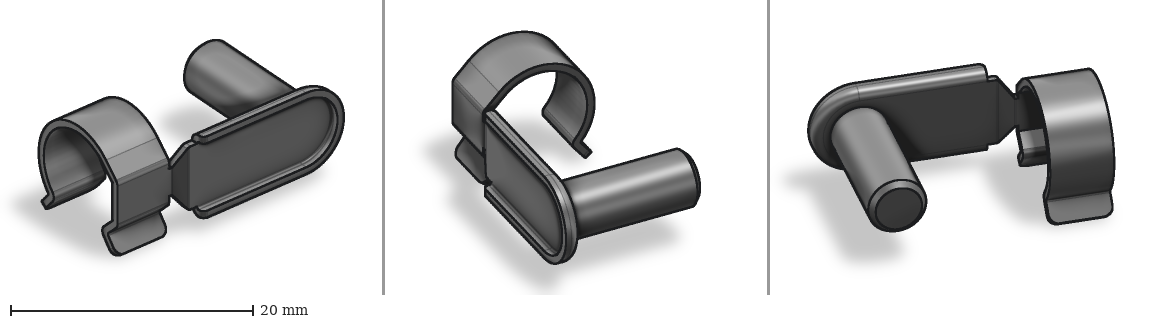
import cadquery as cq
import math

sheet = 0.7

pin_diameter = 5.0
pin_chamfer = 0.5
plate_x = 12.08

plate_radius = 4.0
plate_back_x = 13.5
bend_radius = 0.9
flange_end_y = -11.0
flange_corner_radius = 0.5

tab_half_width = plate_radius - bend_radius
tab_shoulder_y = -11.87
tab_corner_radius = 0.4
tab_bend_radius = 0.28
neck_half_width = 1.35
neck_y = -13.2

clip_radius = 5.2
clip_center_x = 7.02
clip_start_y = -13.5
clip_end_y = -19.0
lip_bend_z = -3.47
lip_length = 2.05
lip_angle = math.radians(51)
lip_corner_radius = 0.8
fold_inner_radius = 0.18
clip_back_x = clip_center_x + clip_radius


def make_pin():
    length = plate_x + sheet / 2
    pin = cq.Workplane("YZ").circle(pin_diameter / 2).extrude(length)
    return pin.faces("<X").chamfer(pin_chamfer)


def rounded_end_block(radius, front_x):
    """Block with a half-round +Y end, reaching from front_x to the flange rim."""
    return (
        cq.Workplane("YZ", origin=(front_x, 0, 0))
        .moveTo(flange_end_y, -radius)
        .lineTo(0, -radius)
        .threePointArc((radius, 0), (0, radius))
        .lineTo(flange_end_y, radius)
        .close()
        .extrude(plate_back_x - front_x)
    )


def make_plate():
    outside = rounded_end_block(plate_radius, plate_x)
    outside = outside.faces("<X").edges("not <Y").fillet(bend_radius)
    inside = rounded_end_block(plate_radius - sheet, plate_x + sheet)
    inside = inside.faces("<X").edges("not <Y").fillet(bend_radius - sheet)
    plate = outside.cut(inside)
    return plate.faces("<Y").edges(">X").fillet(flange_corner_radius)


def make_tab():
    neck_x = clip_back_x - sheet
    stepped_sheet = (
        cq.Workplane("XY")
        .polyline([
            (plate_x, flange_end_y),
            (plate_x, tab_shoulder_y),
            (neck_x, neck_y),
            (neck_x, clip_start_y),
            (neck_x + sheet, clip_start_y),
            (neck_x + sheet, neck_y),
            (plate_x + sheet, tab_shoulder_y),
            (plate_x + sheet, flange_end_y),
        ])
        .close()
        .extrude(tab_half_width, both=True)
    )
    bend_zone = cq.selectors.BoxSelector(
        (0, neck_y - tab_bend_radius / 2, -plate_radius),
        (plate_back_x, tab_shoulder_y + tab_bend_radius / 2, plate_radius),
    )
    stepped_sheet = stepped_sheet.edges("|Z").edges(bend_zone).fillet(tab_bend_radius)
    outline = (
        cq.Workplane("YZ")
        .polyline([
            (flange_end_y, -tab_half_width),
            (tab_shoulder_y, -tab_half_width),
            (neck_y, -neck_half_width),
            (clip_start_y, -neck_half_width),
            (clip_start_y, neck_half_width),
            (neck_y, neck_half_width),
            (tab_shoulder_y, tab_half_width),
            (flange_end_y, tab_half_width),
        ])
        .close()
        .extrude(plate_back_x)
    )
    shoulder = cq.selectors.BoxSelector(
        (0, tab_shoulder_y - tab_corner_radius, -plate_radius),
        (plate_back_x, tab_shoulder_y + tab_corner_radius, plate_radius),
    )
    outline = outline.edges("|X").edges(shoulder).fillet(tab_corner_radius)
    return stepped_sheet.intersect(outline)


def make_clip():
    inner_radius = clip_radius - sheet
    diagonal = math.sqrt(0.5)
    along = (math.cos(lip_angle), -math.sin(lip_angle))
    across = (math.sin(lip_angle), math.cos(lip_angle))

    inner_corner_z = inner_radius / diagonal - inner_radius
    outer_corner = inner_radius + sheet * diagonal, inner_corner_z + sheet * diagonal
    right_bend_x = clip_radius / diagonal + lip_bend_z
    left_bend_x = -math.sqrt(clip_radius**2 - lip_bend_z**2)
    left_bend_angle = math.atan2(lip_bend_z, left_bend_x)
    bend_start_scale = inner_radius / clip_radius

    def rounded(corner_x, corner_z, degrees):
        """Point on the outside of a fold whose inside is the given sharp corner."""
        angle = math.radians(degrees)
        return corner_x + sheet * math.cos(angle), corner_z + sheet * math.sin(angle)

    lip_degrees = math.degrees(lip_angle)
    right_lip_start = (right_bend_x - sheet * across[0], lip_bend_z - sheet * across[1])
    left_lip_start = (left_bend_x + sheet * across[0], lip_bend_z - sheet * across[1])
    right_fold_middle = rounded(right_bend_x, lip_bend_z, (135 + 270 - lip_degrees) / 2)
    left_fold_degrees = (math.degrees(left_bend_angle) + 180 + lip_degrees - 90) / 2
    left_fold_middle = rounded(left_bend_x, lip_bend_z, left_fold_degrees)
    reach = (lip_length * along[0], lip_length * along[1])

    clip = (
        cq.Workplane("XZ", origin=(clip_center_x, clip_start_y, 0))
        .moveTo(left_bend_x, lip_bend_z)
        .threePointArc((-clip_radius * diagonal, clip_radius * diagonal),
                       (clip_radius * diagonal, clip_radius * diagonal))
        .lineTo(*outer_corner)
        .threePointArc(rounded(inner_radius, inner_corner_z, 22.5), (clip_radius, inner_corner_z))
        .lineTo(clip_radius, -inner_corner_z)
        .threePointArc(rounded(inner_radius, -inner_corner_z, -22.5), (outer_corner[0], -outer_corner[1]))
        .lineTo(right_bend_x, lip_bend_z)
        .lineTo(right_bend_x + reach[0], lip_bend_z + reach[1])
        .lineTo(right_lip_start[0] + reach[0], right_lip_start[1] + reach[1])
        .lineTo(*right_lip_start)
        .threePointArc(right_fold_middle, rounded(right_bend_x, lip_bend_z, 135))
        .lineTo(inner_radius, -inner_corner_z)
        .lineTo(inner_radius, inner_corner_z)
        .lineTo(inner_radius * diagonal, inner_radius * diagonal)
        .threePointArc((-inner_radius * diagonal, inner_radius * diagonal),
                       (left_bend_x * bend_start_scale, lip_bend_z * bend_start_scale))
        .threePointArc(left_fold_middle, left_lip_start)
        .lineTo(left_lip_start[0] - reach[0], left_lip_start[1] + reach[1])
        .lineTo(left_bend_x - reach[0], lip_bend_z + reach[1])
        .close()
        .extrude(clip_start_y - clip_end_y)
    )
    clip_middle_y = (clip_start_y + clip_end_y) / 2
    for bend_x in (left_bend_x, right_bend_x):
        fold = cq.selectors.NearestToPointSelector((clip_center_x + bend_x, clip_middle_y, lip_bend_z))
        clip = clip.edges("|Y").edges(fold).fillet(fold_inner_radius)
    for side in (-1, 1):
        tip_edges = cq.selectors.ParallelDirSelector(cq.Vector(side * across[0], 0, across[1]))
        clip = clip.edges(tip_edges).fillet(lip_corner_radius)
    return clip


result = make_plate().union(make_pin()).union(make_tab()).union(make_clip())